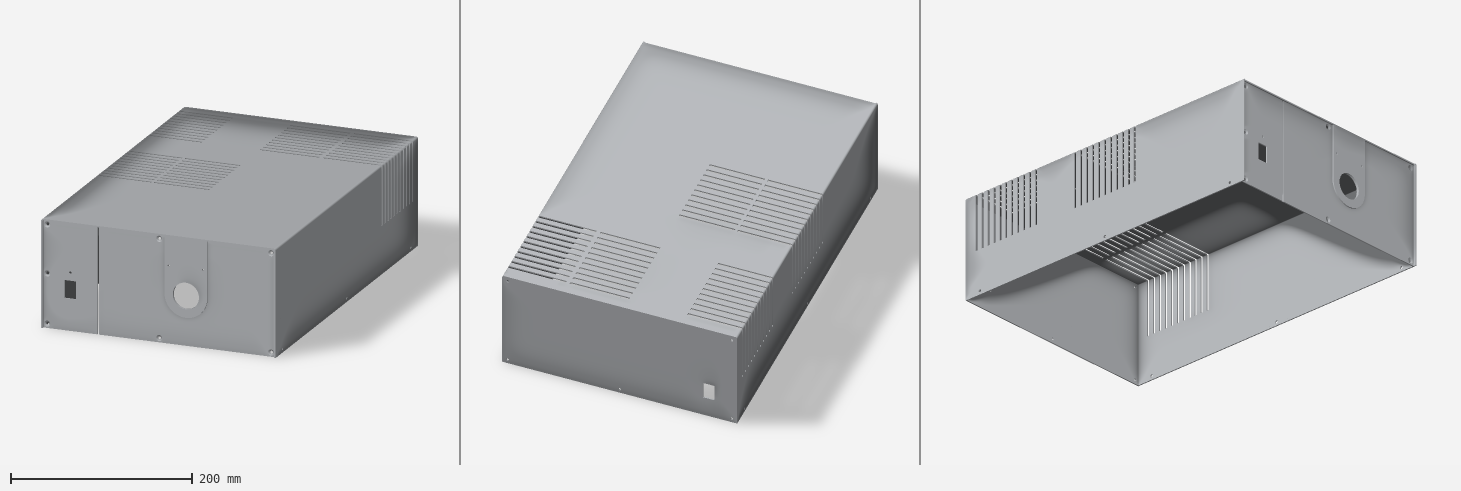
import cadquery as cq

width = 279.0
depth = 420.0
height = 127.0
sheet = 1.5
bend_radius = 2.0

half_width = width / 2
front_y = -depth / 2
back_y = depth / 2
roof_z = height - sheet
inner_x = half_width - sheet
flat_top_x = half_width - bend_radius

slot_width = 3.02
slot_count = 11
slot_span = 90.0
slot_pitch = slot_span / (slot_count - 1)
slot_bottom_z = 56.3
rear_vents_y = 148.5
middle_vents_y = -0.5
divider_x = -72.5
divider_web = 3.5
middle_slot_end_x = -5.0
rear_slot_start_x = -5.5
rear_web_x = 67.5
rear_web = 4.5

side_hole_diameter = 3.5
side_hole_spacing = 188.5
side_hole_z = 4.5
back_hole_diameter = 3.05

panel_recess = 3.0
panel_gap = 1.5
panel_front_y = front_y + panel_recess
panel_back_y = panel_front_y + sheet
top_setback = panel_recess - sheet
screw_inset = 6.5
lower_screw_z = 5.0
upper_screw_z = height - screw_inset
screw_x = half_width - screw_inset
screw_hole_diameter = 3.2
screw_head_diameter = 7.0

window_x = -106.0
window_width = 13.5
window_height = 21.0
window_top_z = 58.5
back_opening_top_z = 46.5
indicator_diameter = 2.9
indicator_z = 67.5

plate_x = 32.5
plate_width = 51.0
port_z = 58.5
port_diameter = 31.0
plate_hole_diameter = 2.5
plate_hole_spacing = 40.7
plate_hole_z = 91.0


def box(x0, x1, y0, y1, z0, z1):
    """Box between opposite corners."""
    return cq.Workplane("XY").box(x1 - x0, y1 - y0, z1 - z0, centered=False).translate((x0, y0, z0))


def hole_y(x, z, diameter, y0, y1):
    """Cylinder along Y."""
    return cq.Workplane("XZ", origin=(x, y0, z)).circle(diameter / 2).extrude(y0 - y1)


def window_cutter(top_z, y0, y1):
    """Rectangular cutter whose upper edge is at top_z."""
    half = window_width / 2
    return box(window_x - half, window_x + half, y0, y1, top_z - window_height, top_z)


def slots(x0, x1, z0, z1, middle_y):
    """Row of parallel slot cutters centred on middle_y."""
    cutters = cq.Workplane("XY")
    for i in range(slot_count):
        y = middle_y - slot_span / 2 + i * slot_pitch
        cutters = cutters.add(box(x0, x1, y - slot_width / 2, y + slot_width / 2, z0, z1))
    return cutters.combine()


def rounded_top_block(half_x, y1, top_z, radius):
    """Block from the front edge back to y1, with its two long top edges rounded."""
    block = box(-half_x, half_x, front_y, y1, 0, top_z)
    return block.edges("|Y and >Z").fillet(radius)


def cut_vents(cover):
    """Slots in the top; those that reach a side edge run round the bend and down the wall."""
    left_slot_end = divider_x - divider_web / 2
    for middle_y in (rear_vents_y, middle_vents_y):
        cover = cover.cut(slots(-half_width, left_slot_end, roof_z, height, middle_y))
        cover = cover.cut(slots(-half_width, -flat_top_x, slot_bottom_z, height, middle_y))

    middle_slot_start = divider_x + divider_web / 2
    cover = cover.cut(slots(middle_slot_start, middle_slot_end_x, roof_z, height, middle_vents_y))

    web_left = rear_web_x - rear_web / 2
    web_right = rear_web_x + rear_web / 2
    cover = cover.cut(slots(rear_slot_start_x, web_left, roof_z, height, rear_vents_y))
    cover = cover.cut(slots(web_right, half_width, roof_z, height, rear_vents_y))
    return cover.cut(slots(flat_top_x, half_width, slot_bottom_z, height, rear_vents_y))


def make_cover(cavity):
    """Top, side walls and back wall round the cavity, which is open at the front and below."""
    cover = rounded_top_block(half_width, back_y, height, bend_radius).cut(cavity)

    cover = cover.cut(box(-flat_top_x, flat_top_x, front_y, front_y + top_setback, roof_z, height))
    cover = cut_vents(cover)

    for y in (-side_hole_spacing, 0, side_hole_spacing):
        drill = cq.Workplane("YZ", origin=(-half_width, y, side_hole_z)).circle(side_hole_diameter / 2)
        cover = cover.cut(drill.extrude(width))

    for x, z in (
        (-screw_x, lower_screw_z),
        (0, lower_screw_z),
        (screw_x, lower_screw_z),
        (-screw_x, upper_screw_z),
        (screw_x, upper_screw_z),
    ):
        cover = cover.cut(hole_y(x, z, back_hole_diameter, back_y - sheet, back_y))
    return cover.cut(window_cutter(back_opening_top_z, back_y - sheet, back_y))


def make_panel(cavity, x0, x1, screw_places):
    """Front panel that fits the cavity, with countersunk screw holes."""
    panel = box(x0, x1, panel_front_y, panel_back_y, 0, roof_z).intersect(cavity)
    for x, z in screw_places:
        panel = panel.cut(hole_y(x, z, screw_hole_diameter, panel_front_y, panel_back_y))
        sink = cq.Solid.makeCone(
            screw_head_diameter / 2,
            screw_hole_diameter / 2,
            sheet,
            pnt=cq.Vector(x, panel_front_y, z),
            dir=cq.Vector(0, 1, 0),
        )
        panel = panel.cut(cq.Workplane(sink))
    return panel


def make_left_panel(cavity):
    """Panel of the narrow compartment, with its window and indicator hole."""
    screws = [(-screw_x, lower_screw_z), (-screw_x, height / 2), (-screw_x, upper_screw_z)]
    panel = make_panel(cavity, -inner_x, divider_x - panel_gap / 2, screws)
    panel = panel.cut(window_cutter(window_top_z, panel_front_y, panel_back_y))
    return panel.cut(hole_y(window_x, indicator_z, indicator_diameter, panel_front_y, panel_back_y))


def plate_holes(y0, y1):
    """Cutters for the port and the two fixing holes."""
    holes = hole_y(plate_x, port_z, port_diameter, y0, y1)
    for side in (-1, 1):
        x = plate_x + side * plate_hole_spacing / 2
        holes = holes.add(hole_y(x, plate_hole_z, plate_hole_diameter, y0, y1))
    return holes.combine()


def make_right_panel(cavity):
    """Panel of the wide compartment, with the port behind the plate."""
    screws = [(0, lower_screw_z), (0, upper_screw_z), (screw_x, lower_screw_z), (screw_x, upper_screw_z)]
    panel = make_panel(cavity, divider_x + panel_gap / 2, inner_x, screws)
    return panel.cut(plate_holes(panel_front_y, panel_back_y))


def make_port_plate():
    """Plate with a round lower end, lying on the front of the right panel."""
    half = plate_width / 2
    plate = (
        cq.Workplane("XZ", origin=(0, panel_front_y, 0))
        .moveTo(plate_x - half, roof_z)
        .lineTo(plate_x - half, port_z)
        .threePointArc((plate_x, port_z - half), (plate_x + half, port_z))
        .lineTo(plate_x + half, roof_z)
        .close()
        .extrude(sheet)
    )
    return plate.cut(plate_holes(panel_front_y - sheet, panel_front_y))


inner_bend_radius = bend_radius - sheet
cavity = rounded_top_block(inner_x, back_y - sheet, roof_z, inner_bend_radius)
cover = make_cover(cavity)
left_panel = make_left_panel(cavity)
right_panel = make_right_panel(cavity)
port_plate = make_port_plate()

result = cq.Compound.makeCompound(
    [cover.val(), left_panel.val(), right_panel.val(), port_plate.val()]
)